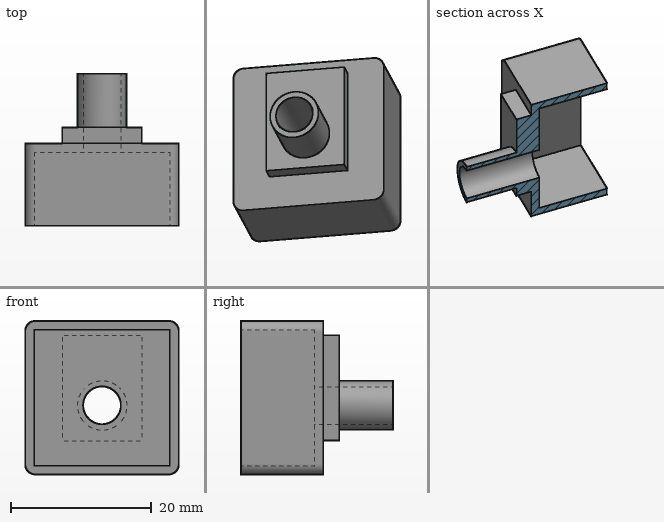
import cadquery as cq

cup_side = 21.84
cup_depth = 11.684
corner_radius = 1.5
wall = 1.27
floor_thickness = 1.27

pad_width = 11.303
pad_height = 14.986
pad_thickness = 2.286
pad_top_gap = 2.032
pad_center_z = cup_side / 2 - pad_top_gap - pad_height / 2

total_length = 21.59
spout_diameter = 7.01
bore_diameter = 5.33
spout_center_z = -1.08

floor_back_y = cup_depth
cavity_depth = cup_depth - floor_thickness
pad_back_y = floor_back_y + pad_thickness
spout_length = total_length - pad_back_y


def sketch_plane(y, center_z=0):
    """XZ workplane at depth y whose normal points along +Y (local x = -X)."""
    return cq.Workplane(cq.Plane(origin=(0, y, center_z), xDir=(-1, 0, 0), normal=(0, 1, 0)))


def make_cup():
    """Square block with rounded corners and a sharp-cornered cavity."""
    block = sketch_plane(0).rect(cup_side, cup_side).extrude(cup_depth).edges("|Y").fillet(corner_radius)
    cavity_side = cup_side - 2 * wall
    cavity = sketch_plane(0).rect(cavity_side, cavity_side).extrude(cavity_depth)
    return block.cut(cavity)


def make_pad():
    return sketch_plane(floor_back_y, pad_center_z).rect(pad_width, pad_height).extrude(pad_thickness)


def make_spout():
    return sketch_plane(pad_back_y, spout_center_z).circle(spout_diameter / 2).extrude(spout_length)


def make_bore():
    """Straight bore through the floor, pad and spout."""
    return sketch_plane(0, spout_center_z).circle(bore_diameter / 2).extrude(total_length)


result = make_cup().union(make_pad()).union(make_spout()).cut(make_bore())